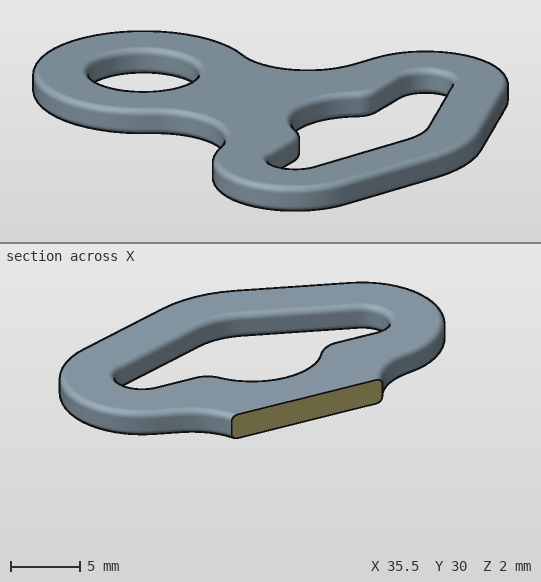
import cadquery as cq
import math

length = 35.45
thickness = 2.0
edge_round = 0.5
ring_radius = 8.0
ring_hole_radius = 4.0
lobe_radius = 6.0
lobe_offset_y = 9.0
nose_radius = 9.0
wall = 4.0
neck_radius = 5.0
slot_corner_radius = 2.0

head_x = length - ring_radius - nose_radius
nose = (head_x, 0.0)
upper_lobe = (head_x, lobe_offset_y)
lower_lobe = (head_x, -lobe_offset_y)
slot_end_radius = lobe_radius - wall
slot_middle_radius = nose_radius - wall

side_angle = math.asin((nose_radius - lobe_radius) / lobe_offset_y)
flank_angle = math.pi - side_angle


def on_circle(center, radius, angle):
    """Point on a circle at an angle in radians, counter-clockwise from +X."""
    return (center[0] + radius * math.cos(angle), center[1] + radius * math.sin(angle))


def between(start, end, fraction):
    """Point a given fraction of the way from start to end."""
    return tuple(a + fraction * (b - a) for a, b in zip(start, end))


def mirror_y(point):
    return (point[0], -point[1])


def upper_neck_center():
    """Centre of the arc touching the ring and the straight flank of the upper lobe."""
    nx = math.cos(flank_angle)
    ny = math.sin(flank_angle)
    across = nx * upper_lobe[0] + ny * upper_lobe[1] + lobe_radius + neck_radius
    along = math.sqrt((ring_radius + neck_radius) ** 2 - across**2)
    return (across * nx + along * ny, across * ny - along * nx)


def lower_neck_center():
    """Centre of the arc touching the ring and the lower lobe directly."""
    to_ring = ring_radius + neck_radius
    to_lobe = lobe_radius + neck_radius
    spacing = math.hypot(*lower_lobe)
    cos_at_ring = (to_ring**2 + spacing**2 - to_lobe**2) / (2 * to_ring * spacing)
    lobe_direction = math.atan2(lower_lobe[1], lower_lobe[0])
    return on_circle((0, 0), to_ring, lobe_direction - math.acos(cos_at_ring))


def make_plate():
    """Solid plate: ring, two lobes and nose joined by straight sides and neck arcs."""
    upper_neck = upper_neck_center()
    lower_neck = lower_neck_center()

    ring_top = between((0, 0), upper_neck, ring_radius / (ring_radius + neck_radius))
    flank_start = on_circle(upper_neck, neck_radius, -side_angle)
    flank_end = on_circle(upper_lobe, lobe_radius, flank_angle)
    side_start = on_circle(upper_lobe, lobe_radius, side_angle)
    side_end = on_circle(nose, nose_radius, side_angle)
    lobe_bottom = between(lower_lobe, lower_neck, lobe_radius / (lobe_radius + neck_radius))
    ring_bottom = between((0, 0), lower_neck, ring_radius / (ring_radius + neck_radius))

    return (
        cq.Workplane("XY")
        .moveTo(*ring_top)
        .threePointArc(on_circle(upper_neck, neck_radius, -math.pi / 2), flank_start)
        .lineTo(*flank_end)
        .threePointArc(on_circle(upper_lobe, lobe_radius, math.pi / 2), side_start)
        .lineTo(*side_end)
        .threePointArc(on_circle(nose, nose_radius, 0), mirror_y(side_end))
        .lineTo(*mirror_y(side_start))
        .threePointArc(on_circle(lower_lobe, lobe_radius, -math.pi / 2), lobe_bottom)
        .threePointArc(on_circle(lower_neck, neck_radius, math.pi / 2), ring_bottom)
        .threePointArc((-ring_radius, 0), ring_top)
        .close()
        .extrude(thickness)
    )


def make_slot():
    """Cutter for the strap slot: round ends, bent right side, bulging left side."""
    left_x = head_x - slot_end_radius
    corner_reach = slot_middle_radius + slot_corner_radius
    corner_x = left_x - slot_corner_radius
    corner_y = math.sqrt(corner_reach**2 - (head_x - corner_x) ** 2)
    corner = (corner_x, corner_y)
    corner_turn = math.atan2(-corner_y, head_x - corner_x)

    bulge_end = on_circle(corner, slot_corner_radius, corner_turn)
    corner_mid = on_circle(corner, slot_corner_radius, corner_turn / 2)
    straight_start = (left_x, corner_y)
    straight_end = (left_x, lobe_offset_y)
    side_start = on_circle(upper_lobe, slot_end_radius, side_angle)
    side_end = on_circle(nose, slot_middle_radius, side_angle)
    end_tip = on_circle(upper_lobe, slot_end_radius, math.pi / 2)

    return (
        cq.Workplane("XY")
        .moveTo(*bulge_end)
        .threePointArc(corner_mid, straight_start)
        .lineTo(*straight_end)
        .threePointArc(end_tip, side_start)
        .lineTo(*side_end)
        .threePointArc(on_circle(nose, slot_middle_radius, 0), mirror_y(side_end))
        .lineTo(*mirror_y(side_start))
        .threePointArc(mirror_y(end_tip), mirror_y(straight_end))
        .lineTo(*mirror_y(straight_start))
        .threePointArc(mirror_y(corner_mid), mirror_y(bulge_end))
        .threePointArc(on_circle(nose, slot_middle_radius, math.pi), bulge_end)
        .close()
        .extrude(thickness)
    )


ring_hole = cq.Workplane("XY").circle(ring_hole_radius).extrude(thickness)
body = make_plate().cut(ring_hole).cut(make_slot())

result = body.faces("<Z or >Z").edges().fillet(edge_round)